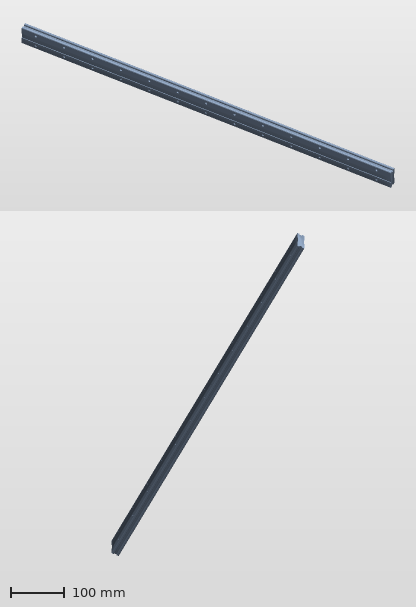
import cadquery as cq

length = 780.0
depth = 15.0
height = 42.0

side_channel_width = 12.0
side_channel_depth = 1.2

edge_channel_width = 5.0
edge_channel_depth = 3.0

edge_chamfer = 1.0

hole_count = 13
hole_pitch = length / hole_count
hole_row_spacing = 26.0
hole_diameter = 3.0
counterbore_diameter = 5.0
counterbore_depth = 2.0


def lengthwise_block(size_y, size_z, y=0, z=0):
    """Full-length block centred at (y, z) in the cross-section."""
    return cq.Workplane("XY").box(length, size_y, size_z).translate((0, y, z))


rail = lengthwise_block(depth, height)
for side in (-1, 1):
    rail = rail.cut(lengthwise_block(edge_channel_width, 2 * edge_channel_depth, z=side * height / 2))

for land in (">Z", "<Z"):
    rail = rail.faces(land).edges("|X").chamfer(edge_chamfer)

for side in (-1, 1):
    rail = rail.cut(lengthwise_block(2 * side_channel_depth, side_channel_width, y=side * depth / 2))

result = (
    rail.faces("<Y")
    .workplane(origin=(0, -depth / 2, 0))
    .rarray(hole_pitch, hole_row_spacing, hole_count, 2)
    .cboreHole(hole_diameter, counterbore_diameter, counterbore_depth)
)